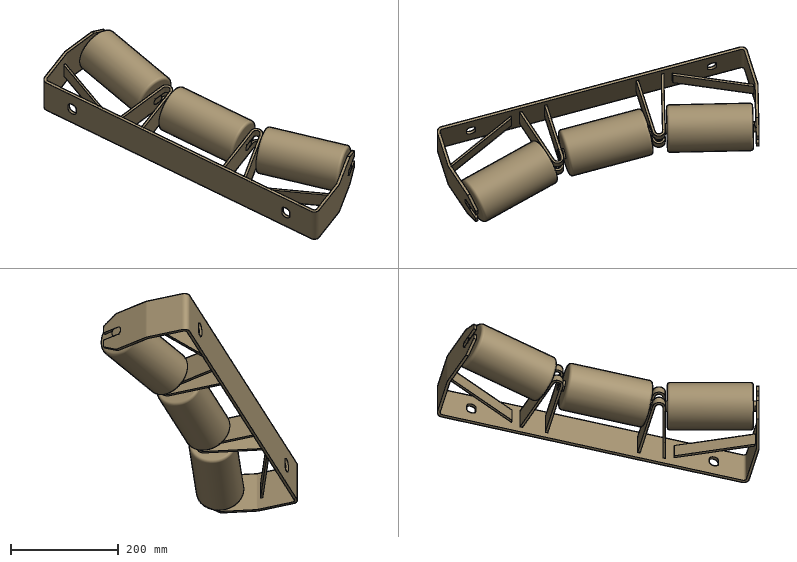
import cadquery as cq
import math

frame_length = 600.0
frame_height = 81.5
frame_thickness = 5.5
corner_radius = 11.0
bend_height = 81.5
arm_length = 98.5
arm_corner_length = 29.5
arm_corner_drop = 18.0
tilt = 15.0

mount_slot_spacing = 467.0
mount_slot_width = 17.5
mount_slot_height = 27.5

roller_diameter = 89.0
roller_length = 160.0
roller_fillet = 5.5
middle_roller_y = 99.0
side_roller_x = 194.5
side_roller_y = 125.0

shaft_diameter = 20.0
shaft_flat_width = 16.0
shoulder_gap = 3.0

hoop_thickness = 5.0
hoop_height = 50.5
hoop_radius = 12.0
hoop_x = 98.5
hoop_y = 114.0

brace_thickness = 4.0
brace_height = 33.0
brace_angle = 25.0
brace_foot_x = 156.0
brace_foot_y = 9.5

half_length = frame_length / 2
half_roller = roller_length / 2
tilt_sin = math.sin(math.radians(tilt))
tilt_cos = math.cos(math.radians(tilt))
hoop_face_x = hoop_x - hoop_radius


def on_side(shape, side):
    """Keep a right-hand shape, or mirror it to the left."""
    return shape if side > 0 else shape.mirror("YZ")


def tilt_right(shape):
    """Move a shape from the frame of a roller along X to the tilted right roller."""
    return shape.rotate((0, 0, 0), (0, 0, 1), tilt).translate((side_roller_x, side_roller_y, 0))


def along_axis(x, y):
    """Distance of a point from the middle of the right roller, outwards along its axis."""
    return (x - side_roller_x) * tilt_cos + (y - side_roller_y) * tilt_sin


def across_axis(x, y):
    """Distance of a point from the axis of the right roller, upwards along the arm."""
    return (y - side_roller_y) * tilt_cos - (x - side_roller_x) * tilt_sin


middle_shaft_reach = hoop_face_x + hoop_thickness
arm_reach = along_axis(half_length, bend_height)
tilted_leg_face = along_axis(hoop_x, hoop_y) + hoop_radius
inner_shaft_reach = hoop_thickness - tilted_leg_face


def shaft_end(start, end):
    """Stretch of shaft along X with flats facing up and down."""
    length = end - start
    base = cq.Workplane("YZ").workplane(offset=start)
    rod = base.circle(shaft_diameter / 2).extrude(length)
    band = base.rect(shaft_diameter, shaft_flat_width).extrude(length)
    return rod.intersect(band)


def shaft_slot(start, end):
    """Cutter for a slot that fits the shaft end and is open towards +Y."""
    rise = arm_length
    opening = cq.Workplane("XY").box(end - start, rise, shaft_flat_width, centered=(False, False, True))
    return shaft_end(start, end).union(opening.translate((start, 0, 0)))


def make_roller(left_reach, right_reach):
    """Roller with its shaft along X, centred on the origin."""
    shell = cq.Workplane("YZ").workplane(offset=-half_roller)
    shell = shell.circle(roller_diameter / 2).extrude(roller_length)
    shell = shell.edges().fillet(roller_fillet)
    shoulder = half_roller + shoulder_gap
    journal = cq.Workplane("YZ").workplane(offset=-shoulder).circle(shaft_diameter / 2).extrude(2 * shoulder)
    return shell.union(journal).union(shaft_end(-left_reach, right_reach))


def make_frame():
    """Bent strip: base, two side walls and two tilted arms with shaft slots."""
    inner_x = half_length - frame_thickness
    inner_bend = bend_height - frame_thickness * math.tan(math.radians(tilt / 2))
    tip_x = half_length - arm_length * tilt_sin
    tip_y = bend_height + arm_length * tilt_cos
    right_side = [
        (half_length, 0),
        (half_length, bend_height),
        (tip_x, tip_y),
        (tip_x - frame_thickness * tilt_cos, tip_y - frame_thickness * tilt_sin),
        (inner_x, inner_bend),
        (inner_x, frame_thickness),
    ]
    left_side = [(-x, y) for x, y in reversed(right_side)]
    frame = cq.Workplane("XY").polyline(right_side + left_side).close().extrude(frame_height)
    frame = frame.translate((0, 0, -frame_height / 2))

    inner_radius = corner_radius - frame_thickness
    for side in (-1, 1):
        for x, y, radius in (
            (half_length, 0, corner_radius),
            (inner_x, frame_thickness, inner_radius),
            (half_length, bend_height, corner_radius),
            (inner_x, inner_bend, inner_radius),
        ):
            corner = frame.edges("|Z").edges(cq.NearestToPointSelector((side * x, y, 0)))
            frame = corner.fillet(radius)

    slot_centres = [(-mount_slot_spacing / 2, 0), (mount_slot_spacing / 2, 0)]
    mount_slots = (
        cq.Workplane("XZ").pushPoints(slot_centres)
        .slot2D(mount_slot_height, mount_slot_width, 90).extrude(-frame_thickness)
    )
    frame = frame.cut(mount_slots)
    for side in (-1, 1):
        frame = frame.cut(on_side(tilt_right(arm_bevels()), side))
        frame = frame.cut(on_side(tilt_right(shaft_slot(half_roller, arm_reach)), side))
    return frame


def arm_bevels():
    """Wedges that bevel the upper and lower corner of an arm tip, square to the arm."""
    tip = across_axis(half_length, bend_height) + arm_length
    top = frame_height / 2
    upper = [(tip, top), (tip, top - arm_corner_drop), (tip - arm_corner_length, top)]
    lower = [(y, -z) for y, z in upper]
    wedges = cq.Workplane("YZ").workplane(offset=half_roller).polyline(upper).close().polyline(lower).close()
    return wedges.extrude(arm_reach - half_roller)


def make_hoop(side):
    """Bent strip with one upright and one tilted leg, both standing on the base."""
    base_y = frame_thickness
    inner_radius = hoop_radius - hoop_thickness

    def tilted_leg(radius):
        """Tangent point of the tilted leg on the bend, and the foot of that leg."""
        x = hoop_x + radius * tilt_cos
        y = hoop_y + radius * tilt_sin
        foot_x = x + (y - base_y) * math.tan(math.radians(tilt))
        return (x, y), (foot_x, base_y)

    outer_tangent, outer_foot = tilted_leg(hoop_radius)
    inner_tangent, inner_foot = tilted_leg(inner_radius)
    hoop = (
        cq.Workplane("XY").moveTo(hoop_face_x, base_y).lineTo(hoop_face_x, hoop_y)
        .threePointArc((hoop_x, hoop_y + hoop_radius), outer_tangent)
        .lineTo(*outer_foot).lineTo(*inner_foot).lineTo(*inner_tangent)
        .threePointArc((hoop_x, hoop_y + inner_radius), (hoop_x - inner_radius, hoop_y))
        .lineTo(hoop_x - inner_radius, base_y).close()
        .extrude(hoop_height).translate((0, 0, -hoop_height / 2))
    )
    upright_slot = shaft_slot(hoop_face_x, hoop_x).translate((0, middle_roller_y, 0))
    tilted_slot = tilt_right(shaft_slot(tilted_leg_face - hoop_radius, tilted_leg_face))
    return on_side(hoop.cut(upright_slot).cut(tilted_slot), side)


def make_brace(side):
    """Sloping plate from the base up to a side wall."""
    slope = math.tan(math.radians(brace_angle))
    drop = brace_thickness / math.cos(math.radians(brace_angle))
    wall_x = half_length - frame_thickness
    wall_y = brace_foot_y + (wall_x - brace_foot_x) * slope
    foot_y = frame_thickness
    outline = [
        (brace_foot_x, foot_y),
        (brace_foot_x, brace_foot_y),
        (wall_x, wall_y),
        (wall_x, wall_y - drop),
        (brace_foot_x + (foot_y - brace_foot_y + drop) / slope, foot_y),
    ]
    brace = cq.Workplane("XY").polyline(outline).close().extrude(brace_height)
    brace = brace.translate((0, 0, -brace_height / 2))
    return on_side(brace, side)


frame = make_frame()
middle_roller = make_roller(middle_shaft_reach, middle_shaft_reach).translate((0, middle_roller_y, 0))
side_rollers = []
hoops = []
braces = []
for side in (-1, 1):
    side_roller = tilt_right(make_roller(inner_shaft_reach, arm_reach))
    side_rollers.append(on_side(side_roller, side))
    hoops.append(make_hoop(side))
    braces.append(make_brace(side))

bodies = [frame, middle_roller, *side_rollers, *hoops, *braces]
result = cq.Compound.makeCompound([body.solids().val() for body in bodies])